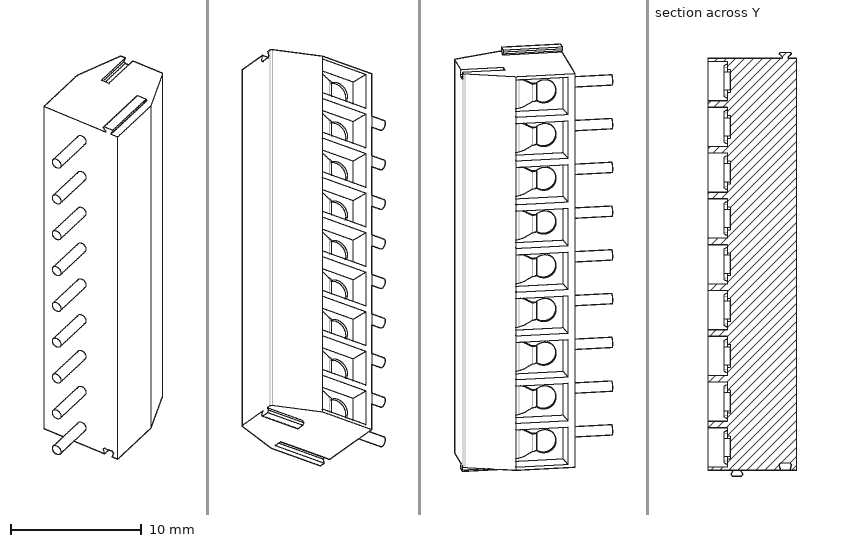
import cadquery as cq
import math

pole_count = 9
pitch = 3.5

body_width = 6.8
body_depth = 8.45
body_height = pole_count * pitch
shoulder_y = 4.6
back_width = 3.85
back_edge_radius = 0.15
half_width = body_width / 2

pin_diameter = 0.8
pin_length = 3.47
pin_x = 0.1

pocket_depth = 1.5
pocket_height = 3.0
pocket_front_y = 0.55
pocket_front_taper = 0.13
pocket_floor_x = -half_width + pocket_depth

well_diameter = 1.85
well_depth = 0.23
well_y = 2.15

leaf_rise = 0.25
leaf_root_bend = 0.85
leaf_hook_bend = 0.42
leaf_root_width = 2.6
leaf_flat_width = 2.1
leaf_neck_width = 1.4
leaf_neck_y = 3.1
leaf_top_x = pocket_floor_x - leaf_rise
leaf_flat_y = shoulder_y - leaf_root_bend
leaf_tip_y = leaf_neck_y - leaf_hook_bend
well_floor_x = pocket_floor_x + well_depth
diagonal = math.sqrt(0.5)

key_height = 0.45
socket_depth = 0.55
front_key_profile = [(0.45, 0), (0.45, 0.1), (0.95, 0.32), (0.8, key_height)]
back_key_profile = [(0.6, 0), (0.95, 0.3), (0.68, key_height)]
socket_profile = [(0.68, 0), (0.95, 0.42), (0.7, socket_depth)]
front_key_x = 2.53
front_key_length = shoulder_y
back_key_x = -1.17
back_key_length = 3.3
back_key_start = body_depth - back_key_length


def make_body():
    outline = [
        (-half_width, 0),
        (half_width, 0),
        (half_width, shoulder_y),
        (back_width / 2, body_depth),
        (-back_width / 2, body_depth),
        (-half_width, shoulder_y),
    ]
    block = cq.Workplane("XY").polyline(outline).close().extrude(body_height)
    return block.faces(">Y").edges("|Z").fillet(back_edge_radius)


def profile_prism(profile, x, start_y, length, base_z, direction):
    """Symmetric prism along +Y, growing from base_z along direction (+1 or -1 in Z)."""
    right = [(x + width / 2, base_z + direction * distance) for width, distance in profile]
    left = [(x - width / 2, base_z + direction * distance) for width, distance in reversed(profile)]
    plane = cq.Workplane("XZ", origin=(0, start_y, 0))
    return plane.polyline(right + left).close().extrude(-length)


def front_prism(profile, base_z):
    """Key or socket beside the front face, growing upward from base_z."""
    return profile_prism(profile, front_key_x, 0, front_key_length, base_z, 1)


def back_prism(profile, base_z):
    """Key or socket beside the back face, growing downward from base_z."""
    return profile_prism(profile, back_key_x, back_key_start, back_key_length, base_z, -1)


def make_pocket(z):
    outline = [
        (-half_width, pocket_front_y),
        (-half_width, shoulder_y),
        (pocket_floor_x, shoulder_y),
        (pocket_floor_x, pocket_front_y + pocket_front_taper),
    ]
    base = cq.Workplane("XY", origin=(0, 0, z - pocket_height / 2))
    return base.polyline(outline).close().extrude(pocket_height)


def make_well(z):
    plane = cq.Workplane("YZ", origin=(pocket_floor_x, 0, 0))
    return plane.center(well_y, z).circle(well_diameter / 2).extrude(well_depth)


def make_leaf(z):
    """Curved root rising off the pocket floor, flat tapering blade, hook bent down to the well floor."""
    hook_drop = leaf_rise + well_depth
    root_mid = (
        leaf_top_x + leaf_rise * (1 - diagonal),
        leaf_flat_y + leaf_root_bend * diagonal,
    )
    hook_mid = (
        leaf_top_x + hook_drop * (1 - diagonal),
        leaf_neck_y - leaf_hook_bend * diagonal,
    )
    section = (
        cq.Workplane("XY", origin=(0, 0, z - leaf_root_width / 2))
        .moveTo(pocket_floor_x, shoulder_y)
        .threePointArc(root_mid, (leaf_top_x, leaf_flat_y))
        .lineTo(leaf_top_x, leaf_neck_y)
        .threePointArc(hook_mid, (well_floor_x, leaf_tip_y))
        .lineTo(well_floor_x, shoulder_y)
        .close()
        .extrude(leaf_root_width)
    )
    half_outline = [
        (shoulder_y, leaf_root_width / 2),
        (leaf_flat_y, leaf_flat_width / 2),
        (leaf_neck_y, leaf_neck_width / 2),
        (leaf_tip_y, leaf_neck_width / 2),
    ]
    upper = [(y, z + w) for y, w in half_outline]
    lower = [(y, z - w) for y, w in reversed(half_outline)]
    taper = (
        cq.Workplane("YZ", origin=(leaf_top_x, 0, 0))
        .polyline(upper + lower)
        .close()
        .extrude(hook_drop)
    )
    return section.intersect(taper)


def make_pin(z):
    plane = cq.Workplane("XZ").center(pin_x, z)
    return plane.circle(pin_diameter / 2).extrude(pin_length)


result = make_body()

result = result.cut(front_prism(socket_profile, 0))
result = result.cut(back_prism(socket_profile, body_height))
result = result.union(front_prism(front_key_profile, body_height))
result = result.union(back_prism(back_key_profile, 0))

for pole in range(pole_count):
    pole_z = (pole + 0.5) * pitch
    result = result.cut(make_pocket(pole_z))
    result = result.cut(make_well(pole_z))
    result = result.union(make_leaf(pole_z))
    result = result.union(make_pin(pole_z))